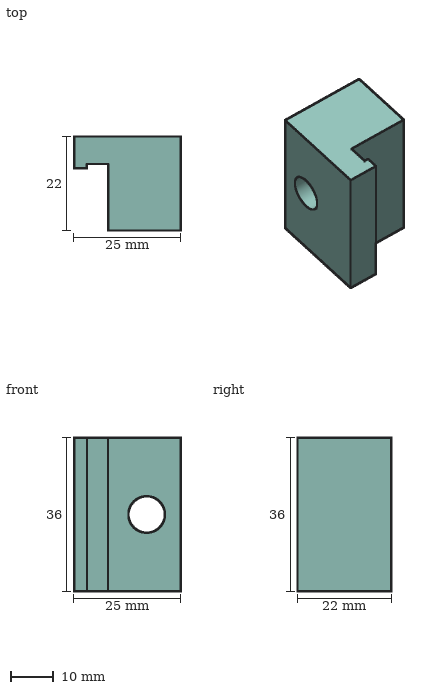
import cadquery as cq

width = 25.0
depth = 22.0
height = 36.0

arm_length = 8.0
arm_thickness = 6.48
lip_width = 3.0
lip_thickness = 7.5

hole_diameter = 8.5
hole_x = 17.0

profile = [
    (0, depth),
    (0, depth - lip_thickness),
    (lip_width, depth - lip_thickness),
    (lip_width, depth - arm_thickness),
    (arm_length, depth - arm_thickness),
    (arm_length, 0),
    (width, 0),
    (width, depth),
]
body = cq.Workplane("XY").polyline(profile).close().extrude(height)

hole = (
    cq.Workplane("XZ", origin=(hole_x, 0, height / 2))
    .circle(hole_diameter / 2)
    .extrude(-depth)
)

result = body.cut(hole)